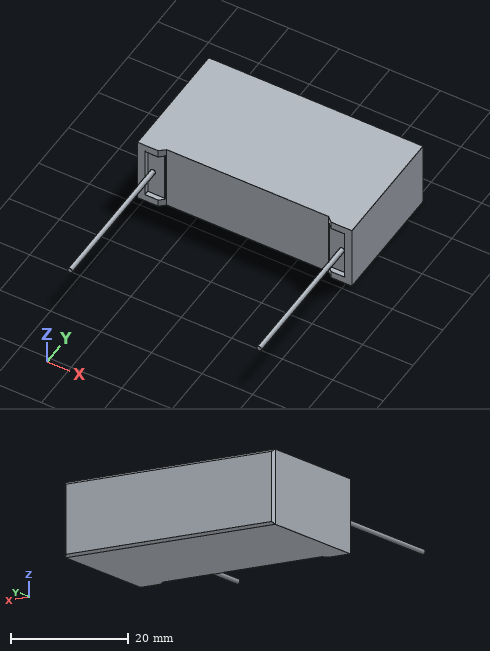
import cadquery as cq

case_length = 42.5
case_height = 13.3
overall_depth = 51.3

lead_reach = 26.95
case_depth = overall_depth - lead_reach
back_chamfer = 0.45
foot_length = 4.1
foot_slope_length = 1.15
foot_height = 1.0

pocket_wall = 1.5
pocket_length = 3.5
pocket_depth = foot_height

lead_spacing = 37.45
lead_diameter = 1.0

half_length = case_length / 2
half_height = case_height / 2
sides = (-1, 1)


def make_case_block():
    """Block with a standoff foot at each end of its front and a chamfered back."""
    foot_end = half_length - foot_length
    slope_end = foot_end - foot_slope_length
    outline = [
        (-half_length, 0),
        (-foot_end, 0),
        (-slope_end, foot_height),
        (slope_end, foot_height),
        (foot_end, 0),
        (half_length, 0),
        (half_length, case_depth),
        (-half_length, case_depth),
    ]
    block = cq.Workplane("XY").polyline(outline).close().extrude(case_height)
    block = block.translate((0, 0, -half_height))
    return block.faces(">Y").chamfer(back_chamfer)


def make_pocket(side):
    """Rectangular volume recessed into the foot on the given side."""
    pocket_x = side * (half_length - pocket_wall - pocket_length / 2)
    pocket_height = case_height - 2 * pocket_wall
    return (
        cq.Workplane("XY")
        .box(pocket_length, pocket_depth, pocket_height)
        .translate((pocket_x, pocket_depth / 2, 0))
    )


def make_lead(side):
    """Round wire from the pocket floor out to the lead tip."""
    lead_length = lead_reach + pocket_depth
    return (
        cq.Workplane("XZ", origin=(side * lead_spacing / 2, pocket_depth, 0))
        .circle(lead_diameter / 2)
        .extrude(lead_length)
    )


case = make_case_block()
for side in sides:
    case = case.cut(make_pocket(side))

leads = [make_lead(side) for side in sides]

result = cq.Compound.makeCompound([case.val(), *[lead.val() for lead in leads]])